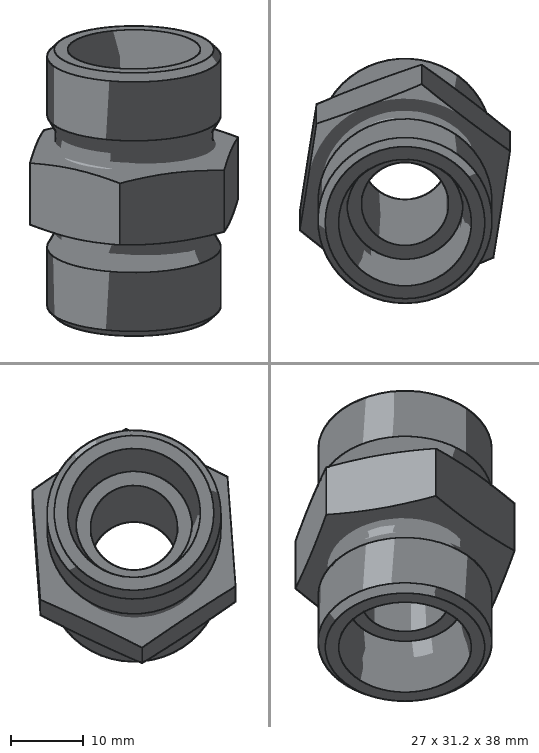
import cadquery as cq
import math

total_length = 38.0
hex_across_flats = 27.0
hex_height = 10.0

hex_face_diameter = hex_across_flats
hex_chamfer_angle = math.radians(15)

thread_diameter = 24.0
end_chamfer = 1.0

undercut_diameter = 21.7
undercut_length = 4.5
undercut_radius = 1.0
runout_angle = math.radians(30)

cone_mouth_diameter = 18.3
cone_half_angle = math.radians(12)
seat_diameter = 16.0
socket_depth = 8.5
bore_diameter = 12.0

half_length = total_length / 2
half_hex = hex_height / 2


def make_hexagon():
    """Hexagonal collar with corners on the Y axis and conically chamfered ends."""
    corner_radius = hex_across_flats / math.sqrt(3)
    corner_drop = (corner_radius - hex_face_diameter / 2) * math.tan(hex_chamfer_angle)
    prism = (
        cq.Workplane("XY")
        .polygon(6, 2 * corner_radius)
        .extrude(hex_height)
        .rotate((0, 0, 0), (0, 0, 1), 90)
        .translate((0, 0, -half_hex))
    )
    chamfer_envelope = (
        cq.Workplane("XZ")
        .moveTo(0, -half_hex)
        .lineTo(hex_face_diameter / 2, -half_hex)
        .lineTo(corner_radius, corner_drop - half_hex)
        .lineTo(corner_radius, half_hex - corner_drop)
        .lineTo(hex_face_diameter / 2, half_hex)
        .lineTo(0, half_hex)
        .close()
        .revolve(360, (0, 0), (0, 1))
    )
    return prism.intersect(chamfer_envelope)


def make_stub():
    """Upper threaded stub with its undercut, starting at the hexagon's mid-plane."""
    thread_radius = thread_diameter / 2
    neck_radius = undercut_diameter / 2
    r = undercut_radius

    blend_end_radius = neck_radius + r * (1 - math.cos(runout_angle))
    runout_length = (thread_radius - blend_end_radius) / math.tan(runout_angle)
    thread_start = half_hex + undercut_length
    blend_end = thread_start - runout_length
    blend_start = blend_end - r * math.sin(runout_angle)
    blend_mid = (
        neck_radius + r * (1 - math.cos(runout_angle / 2)),
        blend_start + r * math.sin(runout_angle / 2),
    )

    fillet_mid_offset = r * (1 - math.sqrt(0.5))
    fillet_mid = (neck_radius + fillet_mid_offset, half_hex + fillet_mid_offset)

    return (
        cq.Workplane("XZ")
        .lineTo(neck_radius + r, 0)
        .lineTo(neck_radius + r, half_hex)
        .threePointArc(fillet_mid, (neck_radius, half_hex + r))
        .lineTo(neck_radius, blend_start)
        .threePointArc(blend_mid, (blend_end_radius, blend_end))
        .lineTo(thread_radius, thread_start)
        .lineTo(thread_radius, half_length - end_chamfer)
        .lineTo(thread_radius - end_chamfer, half_length)
        .lineTo(0, half_length)
        .close()
        .revolve(360, (0, 0), (0, 1))
    )


def make_socket():
    """Cutter for the upper half of the bore: cone, seat and through bore."""
    mouth_radius = cone_mouth_diameter / 2
    seat_radius = seat_diameter / 2
    bore_radius = bore_diameter / 2
    cone_depth = (mouth_radius - seat_radius) / math.tan(cone_half_angle)
    return (
        cq.Workplane("XZ")
        .lineTo(bore_radius, 0)
        .lineTo(bore_radius, half_length - socket_depth)
        .lineTo(seat_radius, half_length - socket_depth)
        .lineTo(seat_radius, half_length - cone_depth)
        .lineTo(mouth_radius, half_length)
        .lineTo(0, half_length)
        .close()
        .revolve(360, (0, 0), (0, 1))
    )


def both_ends(upper):
    """Join an upper half with its mirror image below the XY plane."""
    return upper.union(upper.mirror("XY"))


result = make_hexagon().union(both_ends(make_stub())).cut(both_ends(make_socket()))